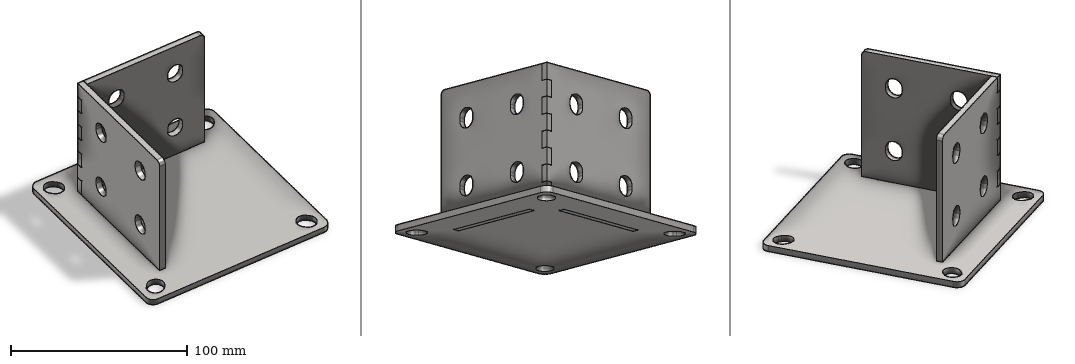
import cadquery as cq

sheet = 3.8
plate_x = 124.0
plate_y = 123.0
plate_corner_radius = 5.0

grid_length = 80.0
segment_count = 8
wall_corner_radius = 3.0

slot_width = 10.2
slot_length = 12.0
plate_hole_inset = 10.0
hole_angle = 45

play = 0.1
notch = sheet + play

wall_length = notch + grid_length
wall_start = -wall_length / 2
wall_end = wall_length / 2
top = wall_length

segment = grid_length / segment_count
hole_offsets = (notch + 2 * segment, notch + 6 * segment)
tab_start = wall_start + notch + segment
tab_end = wall_end - segment


def block(x_range, y_range, z_range):
    """Box between the given limits on each axis."""
    return (
        cq.Workplane("XY")
        .box(
            x_range[1] - x_range[0],
            y_range[1] - y_range[0],
            z_range[1] - z_range[0],
            centered=False,
        )
        .translate((x_range[0], y_range[0], z_range[0]))
    )


def make_corner_hole(x_sign, y_sign):
    """Cutter for a slotted hole in one plate corner, its long axis at 45 degrees, pointing inwards."""
    x = x_sign * (plate_x / 2 - plate_hole_inset)
    y = y_sign * (plate_y / 2 - plate_hole_inset)
    angle = hole_angle * x_sign * y_sign
    return cq.Workplane("XY").center(x, y).slot2D(slot_length, slot_width, angle).extrude(sheet)


def make_base_plate():
    """Rounded plate with four corner holes and a through slot for each wall's tab."""
    plate = cq.Workplane("XY").box(plate_x, plate_y, sheet, centered=(True, True, False))
    plate = plate.edges("|Z").fillet(plate_corner_radius)
    for x_sign in (-1, 1):
        for y_sign in (-1, 1):
            plate = plate.cut(make_corner_hole(x_sign, y_sign))
    across = (wall_start, wall_start + notch)
    along = (tab_start, tab_end)
    plate = plate.cut(block(along, across, (0, sheet)))
    return plate.cut(block(across, along, (0, sheet)))


def make_wall_blank(plane_name, inward):
    """Wall with a rounded free top corner, a tab through the plate and four slotted holes.

    The outline lies on the outer face; inward is the extrusion sign towards the inside of the L.
    """
    outer_face = cq.Workplane(plane_name, origin=(wall_start, wall_start, 0))
    thickness = inward * sheet
    tab_near = tab_start - wall_start
    tab_far = tab_end - wall_start
    panel = (
        outer_face.moveTo(0, sheet)
        .lineTo(tab_near, sheet)
        .lineTo(tab_near, 0)
        .lineTo(tab_far, 0)
        .lineTo(tab_far, sheet)
        .lineTo(wall_length, sheet)
        .lineTo(wall_length, top - wall_corner_radius)
        .radiusArc((wall_length - wall_corner_radius, top), -wall_corner_radius)
        .lineTo(0, top)
        .close()
        .extrude(thickness)
    )
    holes = (
        outer_face.pushPoints([(along, up) for along in hole_offsets for up in hole_offsets])
        .slot2D(slot_length, slot_width, 90)
        .extrude(thickness)
    )
    return panel.cut(holes)


def make_front_wall():
    """Wall along X; its corner edge is notched where the side wall's fingers (even segments) pass."""
    wall = make_wall_blank("XZ", -1)
    edge = (wall_start, wall_start + sheet)
    for index in range(0, segment_count, 2):
        bottom = sheet if index == 0 else notch + index * segment
        finger_top = notch + (index + 1) * segment
        wall = wall.cut(block(edge, edge, (bottom, finger_top)))
    return wall


def make_side_wall():
    """Wall along Y; its corner edge is notched where the front wall's fingers (odd segments) pass.

    Each notch has play above the finger and behind it.
    """
    wall = make_wall_blank("YZ", 1)
    across = (wall_start, wall_start + sheet)
    along = (wall_start, wall_start + notch)
    for index in range(1, segment_count, 2):
        bottom = notch + index * segment
        wall = wall.cut(block(across, along, (bottom, bottom + segment + play)))
    return wall


base_plate = make_base_plate()
front_wall = make_front_wall()
side_wall = make_side_wall()

result = cq.Compound.makeCompound([base_plate.val(), front_wall.val(), side_wall.val()])